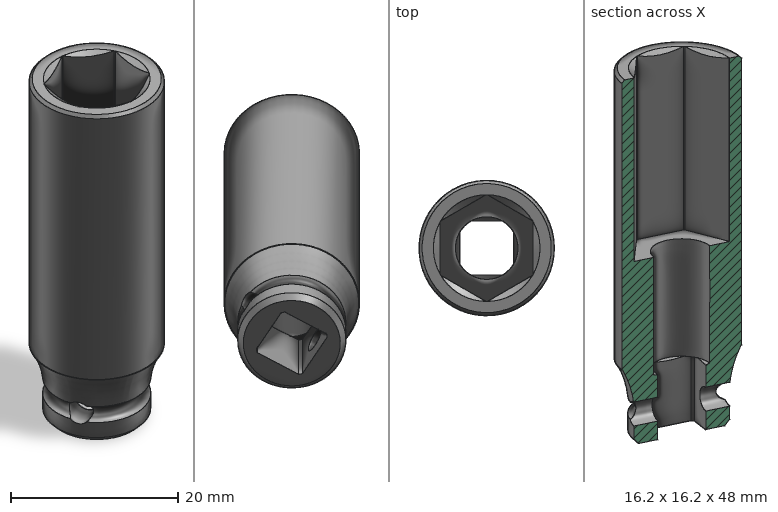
import cadquery as cq
import math

length = 48.0
body_radius = 8.1
top_chamfer_width = 0.4
top_chamfer_height = 0.4

collar_radius = 6.5
bottom_chamfer_width = 0.65
bottom_chamfer_height = 0.7
groove_bottom = 2.9
groove_top = 5.15
groove_floor_radius = 5.6
flare_top = 10.1
flare_top_radius = 8.0
flare_middle_radius = 6.95

hex_across_flats = 11.15
hex_corner_radius = 6.4
hex_depth = 24.0
lead_in_angle = 30.0

square_side = 6.45
square_corner_radius = 4.3
square_depth = 8.65
bore_radius = 3.75
bore_cone_angle = 15.0

pin_hole_radius = 1.55

groove_middle = (groove_bottom + groove_top) / 2
flare_middle = (groove_top + flare_top) / 2


def make_body():
    """Revolve the outer outline, drawn as radius against height."""
    return (
        cq.Workplane("XZ")
        .moveTo(0, 0)
        .lineTo(collar_radius - bottom_chamfer_width, 0)
        .lineTo(collar_radius, bottom_chamfer_height)
        .lineTo(collar_radius, groove_bottom)
        .threePointArc((groove_floor_radius, groove_middle), (collar_radius, groove_top))
        .threePointArc((flare_middle_radius, flare_middle), (flare_top_radius, flare_top))
        .lineTo(body_radius, flare_top)
        .lineTo(body_radius, length - top_chamfer_height)
        .lineTo(body_radius - top_chamfer_width, length)
        .lineTo(0, length)
        .close()
        .revolve(360, (0, 0, 0), (0, 1, 0))
    )


def cylinder(radius, bottom, height):
    return cq.Workplane("XY").workplane(offset=bottom).circle(radius).extrude(height)


def cone(radius, top, angle):
    """Cone pointing down, with its flank at the given angle to a level plane."""
    depth = radius * math.tan(math.radians(angle))
    solid = cq.Solid.makeCone(0, radius, depth, pnt=cq.Vector(0, 0, top - depth))
    return cq.Workplane("XY").add(solid)


def make_hex_socket():
    """Hexagon with corners on the Y axis, trimmed corners and a conical lead-in."""
    bottom = length - hex_depth
    across_corners = hex_across_flats / math.cos(math.radians(30))
    hexagon = (
        cq.Workplane("XY")
        .workplane(offset=bottom)
        .transformed(rotate=(0, 0, 90))
        .polygon(6, across_corners)
        .extrude(hex_depth)
    )
    trimmed = hexagon.intersect(cylinder(hex_corner_radius, bottom, hex_depth))
    return trimmed.union(cone(hex_corner_radius, length, lead_in_angle))


def make_square_drive():
    square = cq.Workplane("XY").rect(square_side, square_side).extrude(square_depth)
    return square.intersect(cylinder(square_corner_radius, 0, square_depth))


def make_bore():
    """Round bore from the hexagon floor, ending in a cone above the square."""
    bore_height = length - hex_depth - square_depth
    bore = cylinder(bore_radius, square_depth, bore_height)
    return bore.union(cone(bore_radius, square_depth, bore_cone_angle))


def make_pin_hole():
    return (
        cq.Workplane("XZ")
        .center(0, groove_middle)
        .circle(pin_hole_radius)
        .extrude(body_radius, both=True)
    )


result = (
    make_body()
    .cut(make_hex_socket())
    .cut(make_bore())
    .cut(make_square_drive())
    .cut(make_pin_hole())
)